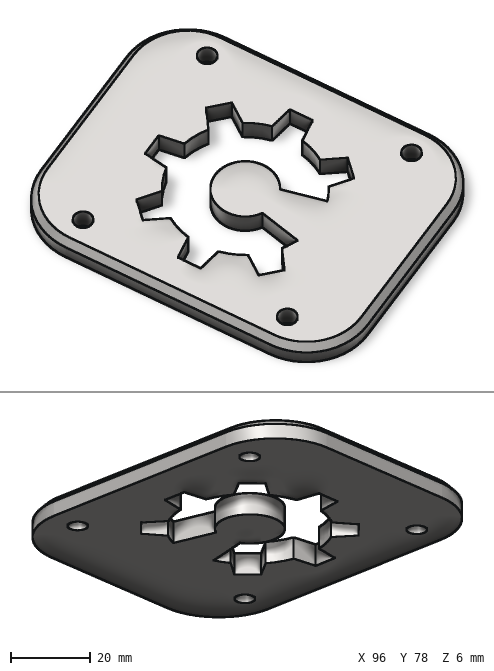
import cadquery as cq
import math

length = 96.0
width = 78.0
thickness = 6.0
corner_radius = 18.0
top_chamfer = 1.9

hole_diameter = 5.2
hole_x = length / 2 - corner_radius
hole_y = 30.4

tooth_pitch = 45
tooth_angles = range(tooth_pitch, 360, tooth_pitch)
opening_y = -1.0
root_radius = 21.0
tooth_tip_distance = 27.5
tip_half_width = 3.4
root_half_width = 4.4

hub_radius = 8.8
spoke_inner_half_width = 4.4
spoke_outer_half_width = 7.3


def chord_distance(radius, half_width):
    """Distance from the centre of a circle to a chord of the given half width."""
    return math.sqrt(radius**2 - half_width**2)


def make_plate():
    return (
        cq.Workplane("XY")
        .rect(length, width)
        .extrude(thickness)
        .edges("|Z")
        .fillet(corner_radius)
        .faces(">Z")
        .chamfer(top_chamfer)
    )


def make_tooth():
    """Tapered tooth along +X, reaching from the centre to its flat tip."""
    root_distance = chord_distance(root_radius, root_half_width)
    return (
        cq.Workplane("XY")
        .moveTo(0, -root_half_width)
        .lineTo(root_distance, -root_half_width)
        .lineTo(tooth_tip_distance, -tip_half_width)
        .lineTo(tooth_tip_distance, tip_half_width)
        .lineTo(root_distance, root_half_width)
        .lineTo(0, root_half_width)
        .close()
        .extrude(thickness)
    )


def make_spoke():
    """Flared bar along +X, from inside the hub to the rim of the opening."""
    inner_x = chord_distance(hub_radius, spoke_inner_half_width)
    outer_x = chord_distance(root_radius, spoke_outer_half_width)
    return (
        cq.Workplane("XY")
        .moveTo(inner_x, -spoke_inner_half_width)
        .lineTo(outer_x, -spoke_outer_half_width)
        .threePointArc((root_radius, 0), (outer_x, spoke_outer_half_width))
        .lineTo(inner_x, spoke_inner_half_width)
        .lineTo(0, 0)
        .close()
        .extrude(thickness)
    )


def make_opening():
    opening = cq.Workplane("XY").circle(root_radius).extrude(thickness)
    tooth = make_tooth()
    for angle in tooth_angles:
        opening = opening.union(tooth.rotate((0, 0, 0), (0, 0, 1), angle))
    hub = cq.Workplane("XY").circle(hub_radius).extrude(thickness)
    return opening.cut(hub.union(make_spoke())).translate((0, opening_y, 0))


def make_mounting_holes():
    return (
        cq.Workplane("XY")
        .rect(2 * hole_x, 2 * hole_y, forConstruction=True)
        .vertices()
        .circle(hole_diameter / 2)
        .extrude(thickness)
    )


result = make_plate().cut(make_opening()).cut(make_mounting_holes())